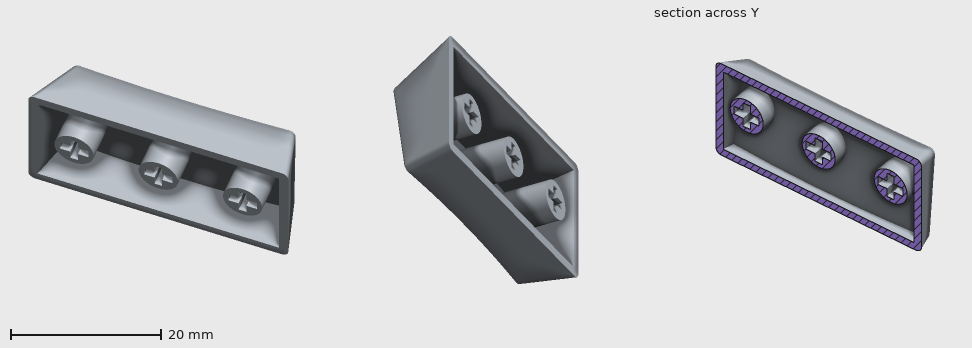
import cadquery as cq
import math

length = 37.1
height = 18.0
wall = 1.25
back_thickness = 1.35
corner_radius = 1.0
back_edge_radius = 0.3

end_draft = 15.3
top_slope = 21.7
back_tilt = 8.8

crest_depth = 9.95
dish_sag = 0.55
dish_span = 31.7

post_diameter = 5.6
post_pitch = 12.02
post_count = 3
cross_width = 4.08
cross_height = 3.97
cross_bar_thickness = 1.3
cross_upright_thickness = 1.1

end_run = math.tan(math.radians(end_draft))
top_run = math.tan(math.radians(top_slope))
back_run = math.tan(math.radians(back_tilt))

crest_height = height - crest_depth * top_run
dish_radius = (dish_span ** 2 / 4 + dish_sag ** 2) / (2 * dish_sag)
reach = 2 * crest_depth


def tapered_block(end_inset, top_inset, bottom_inset):
    """Long block with drafted ends, sloping top and level underside, reaching past the back face."""
    half = length / 2 - end_inset
    far_half = half - reach * end_run
    top = height - top_inset
    side_profile = [(0, bottom_inset), (reach, bottom_inset), (reach, top - reach * top_run), (0, top)]
    plan_profile = [(-half, 0), (half, 0), (far_half, reach), (-far_half, reach)]
    side_prism = cq.Workplane("YZ").polyline(side_profile).close().extrude(length, both=True)
    plan_prism = cq.Workplane("XY").polyline(plan_profile).close().extrude(height)
    return side_prism.intersect(plan_prism)


def beyond_dish(offset):
    """Everything beyond the dished back face, with that face moved inward by the offset."""
    dish_plane = cq.Plane(origin=(0, crest_depth, crest_height), xDir=(1, 0, 0), normal=(0, back_run, 1))
    radius = dish_radius + offset
    middle = -offset - dish_sag
    half = length
    end = middle + radius - math.sqrt(radius ** 2 - half ** 2)
    return (
        cq.Workplane(dish_plane)
        .moveTo(-half, end)
        .threePointArc((0, middle), (half, end))
        .lineTo(half, reach)
        .lineTo(-half, reach)
        .close()
        .extrude(2 * height, both=True)
    )


def runs_front_to_back(edge):
    return abs(edge.startPoint().y - edge.endPoint().y) > reach / 2


def outer_body():
    block = tapered_block(0, 0, 0)
    long_edges = [edge for edge in block.edges().vals() if runs_front_to_back(edge)]
    rounded = block.newObject(long_edges).fillet(corner_radius)
    dished = rounded.cut(beyond_dish(0))
    return dished.faces(">Y").edges().fillet(back_edge_radius)


def cavity():
    """Hollow whose walls follow the outer slopes, with sharp corners and a floor parallel to the dish."""
    end_inset = wall / math.cos(math.radians(end_draft))
    top_inset = wall / math.cos(math.radians(top_slope))
    return tapered_block(end_inset, top_inset, wall).cut(beyond_dish(back_thickness))


def socketed_posts():
    first = -(post_count - 1) / 2 * post_pitch
    centers = [(first + i * post_pitch, height / 2) for i in range(post_count)]
    rim = cq.Workplane("XZ").pushPoints(centers)
    posts = rim.circle(post_diameter / 2).extrude(-reach)
    bars = rim.rect(cross_width, cross_bar_thickness).extrude(-reach)
    uprights = rim.rect(cross_upright_thickness, cross_height).extrude(-reach)
    return posts.cut(bars).cut(uprights)


result = outer_body().cut(cavity().cut(socketed_posts()))